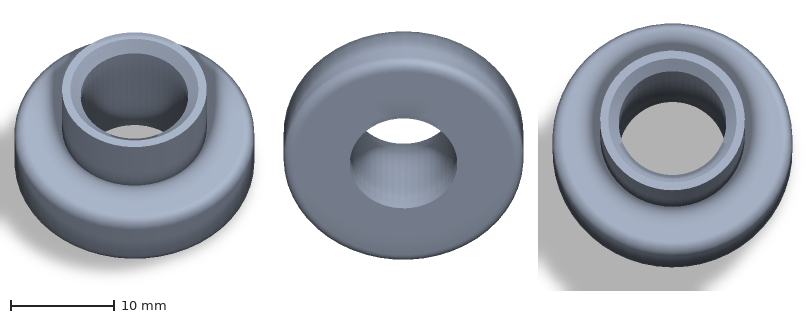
import cadquery as cq

flange_diameter = 23.2
flange_height = 6.29
sleeve_diameter = 14.0
total_height = 12.4
bore_diameter = 10.4
edge_size = 1.0

flange = cq.Workplane("XY").circle(flange_diameter / 2).extrude(flange_height)
flange = flange.edges("%CIRCLE").fillet(edge_size)

sleeve = cq.Workplane("XY").circle(sleeve_diameter / 2).extrude(total_height)

bore = cq.Workplane("XY").circle(bore_diameter / 2).extrude(total_height)
body = flange.union(sleeve).cut(bore)
result = body.faces(">Z").edges(cq.selectors.RadiusNthSelector(0)).chamfer(edge_size)